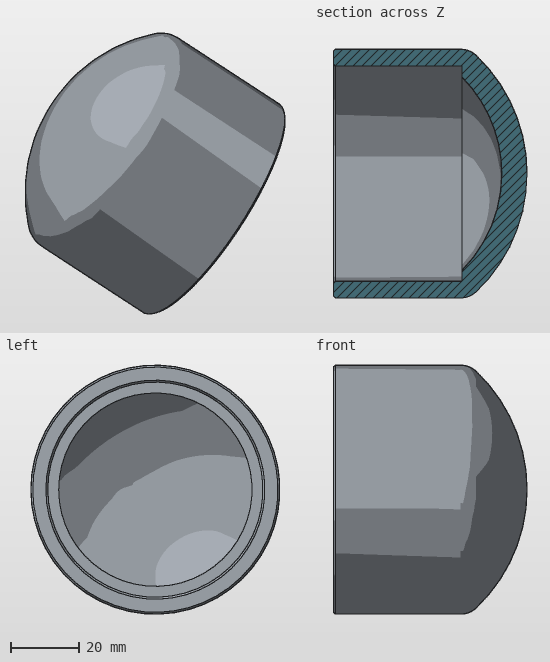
import cadquery as cq
import math

outer_radius = 36.5
total_length = 56.8
rim_chamfer = 0.6

dome_radius = 47.75
dome_center = total_length - dome_radius
shoulder_radius = 6.5

socket_diameter = 63.0
socket_radius = socket_diameter / 2
socket_depth = 37.7
mouth_chamfer = 0.6
cavity_mouth_radius = 28.3


def on_circle(center_x, center_r, radius, angle):
    """Point on a profile circle, with the angle measured from the X axis."""
    return (center_x + radius * math.cos(angle), center_r + radius * math.sin(angle))


def outer_body():
    """Cylinder with a spherical end and a shoulder tangent to both."""
    center_distance = dome_radius - shoulder_radius
    shoulder_center_r = outer_radius - shoulder_radius
    dome_angle = math.asin(shoulder_center_r / center_distance)
    shoulder_start = dome_center + center_distance * math.cos(dome_angle)

    shoulder_middle_angle = (math.pi / 2 + dome_angle) / 2
    profile = (
        cq.Workplane("XY")
        .moveTo(0, 0)
        .lineTo(0, outer_radius - rim_chamfer)
        .lineTo(rim_chamfer, outer_radius)
        .lineTo(shoulder_start, outer_radius)
        .threePointArc(
            on_circle(shoulder_start, shoulder_center_r, shoulder_radius, shoulder_middle_angle),
            on_circle(dome_center, 0, dome_radius, dome_angle),
        )
        .threePointArc(
            on_circle(dome_center, 0, dome_radius, dome_angle / 2),
            (total_length, 0),
        )
        .close()
    )
    return profile.revolve(360, (0, 0, 0), (1, 0, 0))


def inner_space():
    """Chamfered socket followed by a spherical cavity concentric with the dome."""
    cavity_height = socket_depth - dome_center
    sphere_radius = math.hypot(cavity_mouth_radius, cavity_height)
    half_angle = math.atan2(cavity_mouth_radius, cavity_height) / 2
    profile = (
        cq.Workplane("XY")
        .moveTo(0, 0)
        .lineTo(0, socket_radius + mouth_chamfer)
        .lineTo(mouth_chamfer, socket_radius)
        .lineTo(socket_depth, socket_radius)
        .lineTo(socket_depth, cavity_mouth_radius)
        .threePointArc(
            on_circle(dome_center, 0, sphere_radius, half_angle),
            (dome_center + sphere_radius, 0),
        )
        .close()
    )
    return profile.revolve(360, (0, 0, 0), (1, 0, 0))


result = outer_body().cut(inner_space())